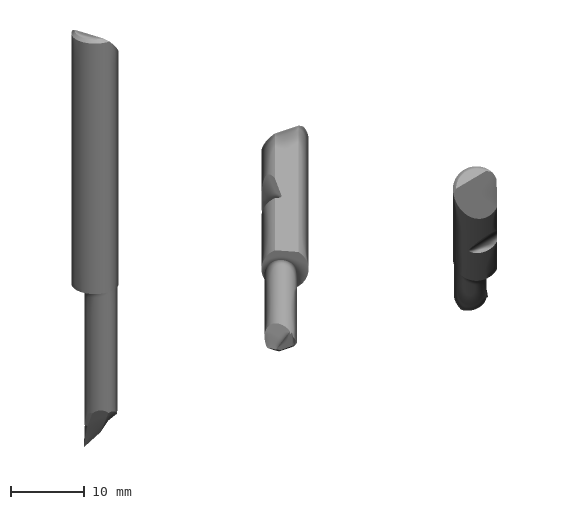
import cadquery as cq
import math

length = 63.15
shank_radius = 3.19
shank_bottom = 25.1
end_chamfer = 0.45
neck_radius = 2.2
neck_offset = shank_radius - neck_radius

flat_angle = 60.0
end_slope_start_y = -1.4
notch_bottom = 40.15
notch_height = 8.45
notch_angle = 9.0
notch_fillet = 0.75

tooth_height = 4.2
tooth_top_x = -1.65
tip = (-1.8, 0, 0)
rake_top = 5.1
relief_slope_x = 1.1
relief_slope_y = -1.6
heel_corner_x = 0.9
heel_slope_x = 1.65
heel_slope_y = -0.5

side_relief_end_x = -0.2
side_relief_end_y = (
    tooth_height - relief_slope_x * (side_relief_end_x - tip[0])
) / relief_slope_y
side_relief_end = (side_relief_end_x, side_relief_end_y, tooth_height)

bevel_points = ((-0.05, -1.6, 4.5), (0.8, -2.2, 6.75), (-0.4, -1.75, 5.2))

cutter_size = 3 * length


def half_space(origin, normal):
    """Large block filling the side of a plane that the normal points to."""
    plane = cq.Plane(origin=origin, normal=normal)
    return cq.Workplane(plane).rect(cutter_size, cutter_size).extrude(cutter_size)


def below_slope(origin, slope_x, slope_y):
    """Everything under the plane through origin with the given Z slopes."""
    return half_space(origin, (slope_x, slope_y, -1))


def outside_three_points(first, second, third):
    """Half space on the side from which three points run anticlockwise."""
    a, b, c = (cq.Vector(*point) for point in (first, second, third))
    normal = (b - a).cross(c - a)
    return half_space(first, normal.toTuple())


def make_shank():
    shank = cq.Workplane("XY", origin=(0, 0, shank_bottom)).circle(shank_radius)
    shank = shank.extrude(length - shank_bottom).faces(">Z").chamfer(end_chamfer)

    angle = math.radians(flat_angle)
    side_flat = half_space((-shank_radius, 0, 0), (-math.sin(angle), math.cos(angle), 0))
    end_slope = half_space((0, end_slope_start_y, length), (0, 1, 1))
    return shank.cut(side_flat).cut(end_slope).cut(make_notch())


def make_notch():
    """Wedge across the +Y side with a rounded inner corner."""
    slope = math.radians(notch_angle)
    ramp_length = notch_height * math.cos(slope)
    wall_depth = notch_height * math.sin(slope)
    corner_y = shank_radius - wall_depth * math.cos(slope)
    corner_z = notch_bottom + wall_depth * math.sin(slope)
    notch = cq.Workplane("XY").box(
        2 * shank_radius, 2 * shank_radius, ramp_length + shank_radius, centered=(True, False, False)
    )
    notch = notch.edges("<Y and <Z").fillet(notch_fillet)
    return notch.rotate((0, 0, 0), (1, 0, 0), -notch_angle).translate((0, corner_y, corner_z))


def make_neck():
    neck = cq.Workplane("XY", origin=(neck_offset, 0, tooth_height)).circle(neck_radius)
    neck = neck.extrude(shank_bottom - tooth_height)
    below_runout = half_space((0, 0, rake_top), (0, 1, -1))
    behind_rake = half_space((0, 0, 0), (0, 1, 0))
    return neck.cut(below_runout.intersect(behind_rake))


def make_tooth():
    """Block under the rake face, trimmed by the leading side relief."""
    tooth = cq.Workplane("XY").box(
        2 * shank_radius, shank_radius, tooth_height, centered=(True, False, False)
    ).translate((0, -shank_radius, 0))
    return tooth.cut(outside_three_points(tip, side_relief_end, (tooth_top_x, 0, tooth_height)))


neck_bevel = outside_three_points(*bevel_points)

relief = below_slope(tip, relief_slope_x, relief_slope_y)
heel_corner = (heel_corner_x, 0, relief_slope_x * (heel_corner_x - tip[0]))
heel = below_slope(heel_corner, heel_slope_x, heel_slope_y)

cutting_end = make_neck().cut(neck_bevel).union(make_tooth()).cut(relief).cut(heel)
result = make_shank().union(cutting_end)